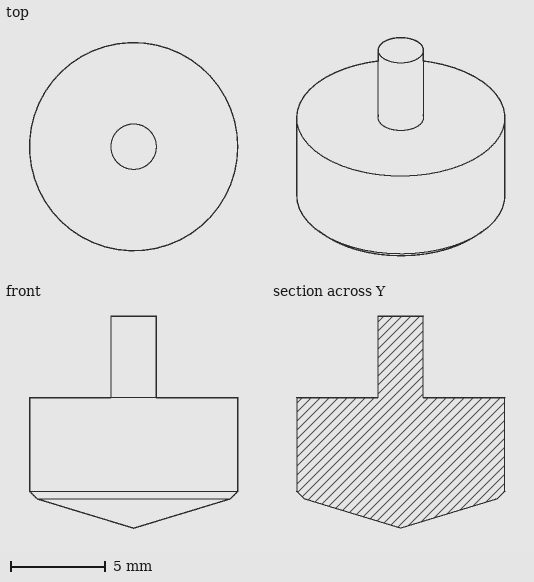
import cadquery as cq

total_height = 11.2
body_diameter = 11.0
pin_diameter = 2.4
pin_length = 4.3
chamfer = 0.4
tip_height = 1.55

body_radius = body_diameter / 2
pin_radius = pin_diameter / 2
tip_radius = body_radius - chamfer
chamfer_top = tip_height + chamfer
shoulder = total_height - pin_length

profile = (
    cq.Workplane("XZ")
    .moveTo(0, 0)
    .lineTo(tip_radius, tip_height)
    .lineTo(body_radius, chamfer_top)
    .lineTo(body_radius, shoulder)
    .lineTo(pin_radius, shoulder)
    .lineTo(pin_radius, total_height)
    .lineTo(0, total_height)
    .close()
)

result = profile.revolve(360, (0, 0, 0), (0, 1, 0))